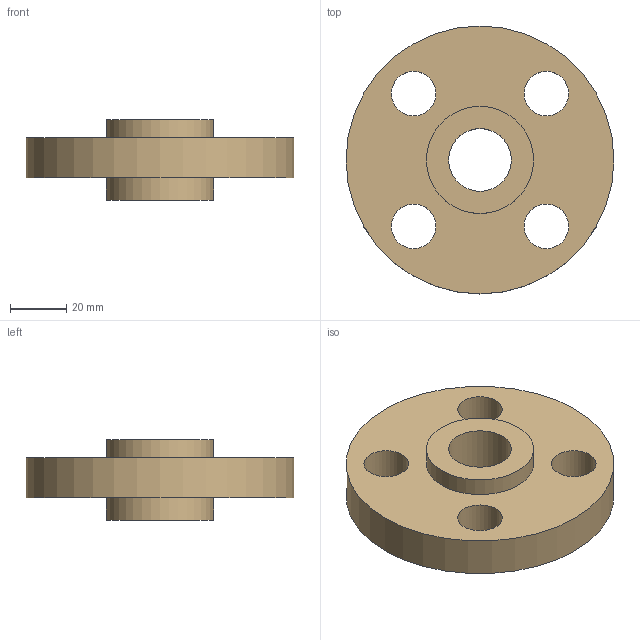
import cadquery as cq

flange_diameter = 95.25
flange_thickness = 14.2

hub_diameter = 38.1
overall_height = 28.7
hub_height_above = 6.4
hub_height_below = overall_height - flange_thickness - hub_height_above
bore_diameter = 22.3

bolt_hole_count = 4
bolt_hole_diameter = 15.875
bolt_circle_diameter = 66.675
first_bolt_angle = 45


def make_flange():
    """Round disc with its underside at Z = 0."""
    return cq.Workplane("XY").circle(flange_diameter / 2).extrude(flange_thickness)


def make_hub():
    """Round hub running through the flange, proud of both faces."""
    return (
        cq.Workplane("XY", origin=(0, 0, -hub_height_below))
        .circle(hub_diameter / 2)
        .extrude(overall_height)
    )


def make_bore():
    """Cutter for the straight bore through the whole hub."""
    return (
        cq.Workplane("XY", origin=(0, 0, -hub_height_below))
        .circle(bore_diameter / 2)
        .extrude(overall_height)
    )


def make_bolt_holes():
    """Cutters for the equally spaced through holes in the flange."""
    return (
        cq.Workplane("XY")
        .polarArray(bolt_circle_diameter / 2, first_bolt_angle, 360, bolt_hole_count)
        .circle(bolt_hole_diameter / 2)
        .extrude(flange_thickness)
    )


result = make_flange().union(make_hub()).cut(make_bore()).cut(make_bolt_holes())